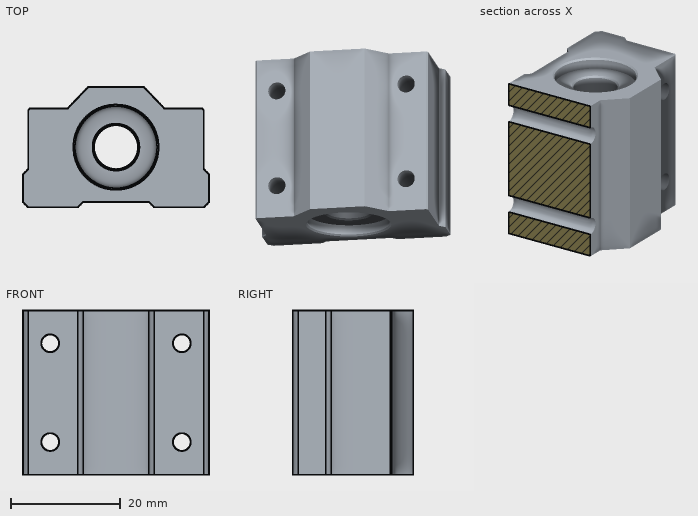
import cadquery as cq

width = 34.0
depth = 22.0
height = 30.0

edge_step = 1.0
flange_top = 7.0
shoulder_drop = 3.95
crown_half_width = 5.05
crown_base_half_width = 8.85
shoulder_bevel = 0.3
groove_half_width = 6.02

bore_diameter = 8.0
recess_diameter = 15.0
recess_depth = 2.05
rim_chamfer = 0.3

mount_hole_diameter = 3.2
mount_spacing_x = 24.0
mount_spacing_z = 18.02

half_width = width / 2
body_half_width = half_width - edge_step
front_y = -depth / 2
crown_y = depth / 2
shoulder_y = crown_y - shoulder_drop
flange_y = front_y + flange_top
bore_y = 0.0


def make_housing():
    """Symmetric profile with a flanged base, raised crown and front groove."""
    right_side = [
        (groove_half_width, front_y + edge_step),
        (groove_half_width + edge_step, front_y),
        (half_width - edge_step, front_y),
        (half_width, front_y + edge_step),
        (half_width, flange_y - edge_step),
        (body_half_width, flange_y),
        (body_half_width, shoulder_y - shoulder_bevel),
        (body_half_width - shoulder_bevel, shoulder_y),
        (crown_base_half_width, shoulder_y),
        (crown_half_width, crown_y),
    ]
    left_side = [(-x, y) for x, y in reversed(right_side)]
    profile = cq.Workplane("XY").polyline(right_side + left_side).close()
    return profile.extrude(height / 2, both=True)


def half_bore_cutter():
    """Upper half of the stepped bore, revolved about its own axis."""
    bore_radius = bore_diameter / 2
    recess_radius = recess_diameter / 2
    top_z = height / 2
    floor_z = top_z - recess_depth
    section = [
        (0, 0),
        (bore_radius, 0),
        (bore_radius, floor_z - rim_chamfer),
        (bore_radius + rim_chamfer, floor_z),
        (recess_radius, floor_z),
        (recess_radius, top_z - rim_chamfer),
        (recess_radius + rim_chamfer, top_z),
        (0, top_z),
    ]
    cutter = cq.Workplane("XZ").polyline(section).close().revolve(360, (0, 0), (0, 1))
    return cutter.translate((0, bore_y, 0))


def mount_hole_cutters():
    """Four plain holes through the full depth."""
    return (
        cq.Workplane("XZ")
        .rarray(mount_spacing_x, mount_spacing_z, 2, 2)
        .circle(mount_hole_diameter / 2)
        .extrude(depth, both=True)
    )


upper_bore = half_bore_cutter()
lower_bore = upper_bore.mirror("XY")
result = make_housing().cut(upper_bore).cut(lower_bore).cut(mount_hole_cutters())